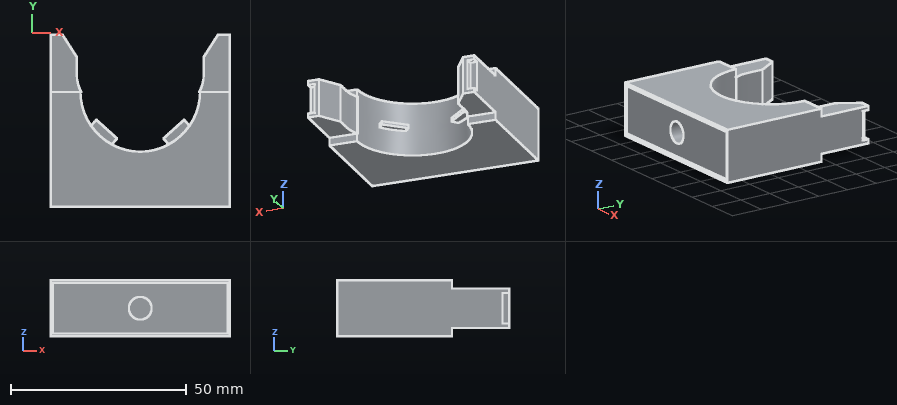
import cadquery as cq
import math

WIDTH = 51.05
BODY_HEIGHT = 16.0
TOTAL_LENGTH = 49.02
ARM_LENGTH = 16.3
BODY_LENGTH = TOTAL_LENGTH - ARM_LENGTH
BORE_RADIUS = 17.0

ARM_HEIGHT = 11.3
ARM_GAP = 36.1
ARM_ROOT_GAP = 33.6
ARM_TIP_WIDTH = 3.4
ARM_LEAD_IN_LENGTH = 6.35
ARM_CURVE_LENGTH = 5.0

NOTCH_LENGTH = 2.0
NOTCH_DEPTH = 2.0
NOTCH_HEIGHT = 8.8

PAD_ANGLE = 42.0
PAD_WIDTH = 8.0
PAD_THICKNESS = 1.0
PAD_FACE_DISTANCE = 14.25
PAD_EMBEDMENT = 1.0
PAD_ROOT_DISTANCE = BORE_RADIUS + PAD_EMBEDMENT

RECESS_DEPTH = 0.25
RECESS_SIDE_RIM = 0.65
RECESS_EDGE_RIM = 0.8
HOLE_DIAMETER = 6.5
HOLE_DEPTH = 8.0


def make_body():
    """Block with a half-round bore open towards +Y."""
    block = cq.Workplane("XY").box(WIDTH, BODY_LENGTH, BODY_HEIGHT, centered=(True, False, True))
    block = block.translate((0, -BODY_LENGTH, 0))
    return block.cut(cq.Workplane("XY").circle(BORE_RADIUS).extrude(BODY_HEIGHT, both=True))


def make_arm():
    """Arm on the +X side: straight inner flank, arc towards the bore, sloped lead-in at the tip."""
    outer_x = WIDTH / 2
    inner_x = ARM_GAP / 2
    root_x = ARM_ROOT_GAP / 2
    step = inner_x - root_x
    curve_radius = (ARM_CURVE_LENGTH**2 + step**2) / (2 * step)
    half_sweep = math.asin(ARM_CURVE_LENGTH / curve_radius) / 2
    curve_middle = (
        inner_x - curve_radius * (1 - math.cos(half_sweep)),
        ARM_CURVE_LENGTH - curve_radius * math.sin(half_sweep),
    )
    arm = (
        cq.Workplane("XY")
        .moveTo(root_x, 0)
        .threePointArc(curve_middle, (inner_x, ARM_CURVE_LENGTH))
        .lineTo(inner_x, ARM_LENGTH - ARM_LEAD_IN_LENGTH)
        .lineTo(outer_x - ARM_TIP_WIDTH, ARM_LENGTH)
        .lineTo(outer_x, ARM_LENGTH)
        .lineTo(outer_x, 0)
        .close()
        .extrude(ARM_HEIGHT / 2, both=True)
    )
    notch = cq.Workplane("XY").box(2 * NOTCH_DEPTH, 2 * NOTCH_LENGTH, NOTCH_HEIGHT)
    return arm.cut(notch.translate((outer_x, ARM_LENGTH, 0)))


def make_pad():
    """Pad on the +X side, its flat face square to the bore radius."""
    pad_depth = PAD_ROOT_DISTANCE - PAD_FACE_DISTANCE
    pad = cq.Workplane("XY").box(PAD_WIDTH, pad_depth, PAD_THICKNESS)
    pad = pad.translate((0, -PAD_FACE_DISTANCE - pad_depth / 2, 0))
    return pad.rotate((0, 0, 0), (0, 0, 1), PAD_ANGLE)


def make_recess():
    """Rectangular recess that leaves a narrow rim around the -Y face."""
    recess = cq.Workplane("XY").box(
        WIDTH - 2 * RECESS_SIDE_RIM,
        2 * RECESS_DEPTH,
        BODY_HEIGHT - 2 * RECESS_EDGE_RIM,
    )
    return recess.translate((0, -BODY_LENGTH, 0))


def make_hole():
    """Blind hole along Y, starting at the recess floor."""
    hole = cq.Workplane("XZ").circle(HOLE_DIAMETER / 2).extrude(-HOLE_DEPTH)
    return hole.translate((0, RECESS_DEPTH - BODY_LENGTH, 0))


result = make_body()
for side_part in (make_arm(), make_pad()):
    result = result.union(side_part).union(side_part.mirror("YZ"))
result = result.cut(make_recess()).cut(make_hole())